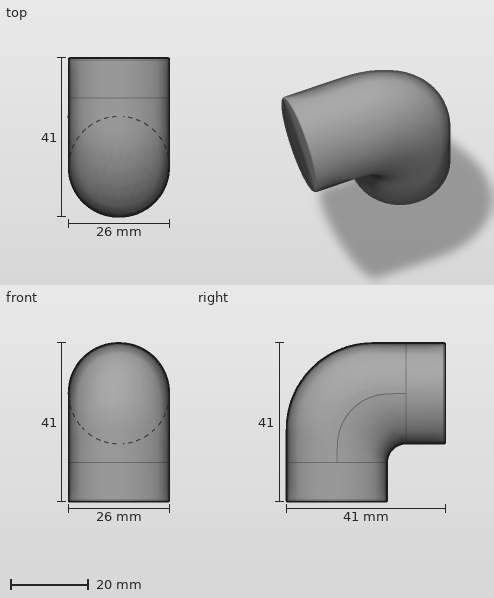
import cadquery as cq
import math

overall = 41.0
diameter = 26.0
collar_length = 10.25
outer_bend_radius = 22.35
end_round = 0.5
section_count = 25

radius = diameter / 2
half = overall / 2
axis_y = -half + radius
axis_z = half - radius
bend_y = half - collar_length
bend_z = -half + collar_length
inner_bend_radius = overall - collar_length - diameter
centre_shift = overall - collar_length - outer_bend_radius


def outer_reach(angle):
    """Distance from the inner bend centre to the outer outline: straight, arc, straight."""
    cosine = math.cos(angle)
    sine = math.sin(angle)
    shift_along = centre_shift * (cosine + sine)
    shift_across = centre_shift * (cosine - sine)
    straight_angle = math.atan2(centre_shift, centre_shift + outer_bend_radius)
    if angle <= straight_angle:
        return (centre_shift + outer_bend_radius) / cosine
    if angle >= math.pi / 2 - straight_angle:
        return (centre_shift + outer_bend_radius) / sine
    return shift_along + math.sqrt(outer_bend_radius**2 - shift_across**2)


def bend_section(angle):
    """Elliptical section of the bend; angle 0 is the lower joint, 90 degrees the rear joint."""
    cosine = math.cos(angle)
    sine = math.sin(angle)
    reach = outer_reach(angle)
    middle = (inner_bend_radius + reach) / 2
    plane = cq.Plane(
        origin=(0, bend_y - middle * cosine, bend_z + middle * sine),
        xDir=(1, 0, 0),
        normal=(0, sine, cosine),
    )
    outline = cq.Workplane(plane).ellipse(radius, (reach - inner_bend_radius) / 2)
    return outline.wires().val()


section_angles = [math.pi / 2 * i / (section_count - 1) for i in range(section_count)]
bend = cq.Workplane(cq.Solid.makeLoft([bend_section(angle) for angle in section_angles]))

lower_collar = (
    cq.Workplane("XY", origin=(0, axis_y, -half))
    .circle(radius)
    .extrude(collar_length)
    .faces("<Z")
    .edges()
    .fillet(end_round)
)

rear_collar = (
    cq.Workplane("XZ", origin=(0, half, axis_z))
    .circle(radius)
    .extrude(collar_length)
    .faces(">Y")
    .edges()
    .fillet(end_round)
)

result = bend.union(lower_collar).union(rear_collar)